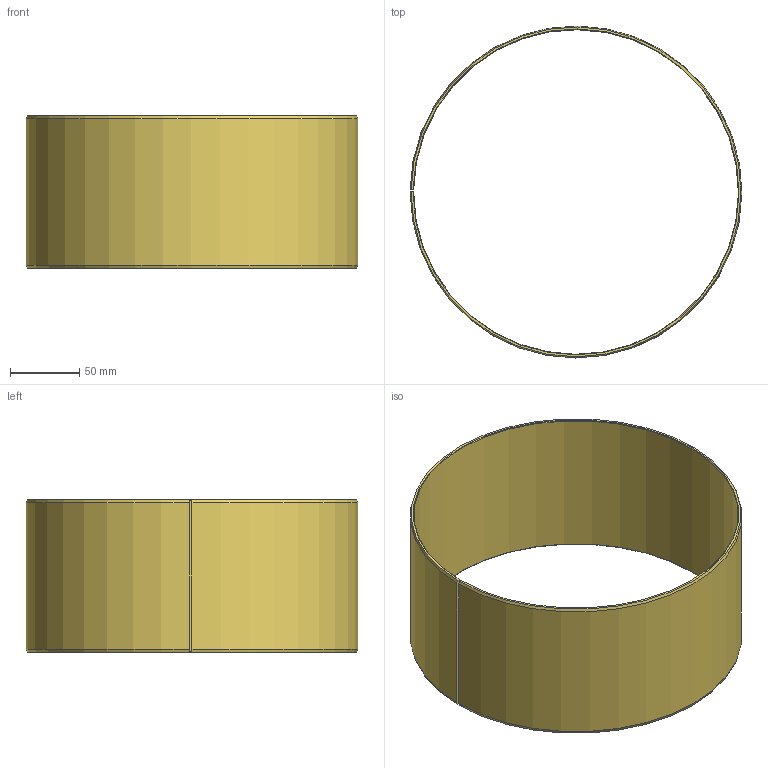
import cadquery as cq

outer_diameter = 240.0
height = 110.0
wall_thickness = 2.5
outer_bevel_height = 2.0
outer_bevel_width = 0.7
inner_bevel_height = 0.5
inner_bevel_width = 0.35
slit_angle = 0.9

outer_radius = outer_diameter / 2
inner_radius = outer_radius - wall_thickness
rim_outer_radius = outer_radius - outer_bevel_width
rim_inner_radius = inner_radius + inner_bevel_width


def make_wall_section():
    """Wall profile on the -X side, standing on Z = 0, beveled at both ends inside and out."""
    corners = [
        (-rim_inner_radius, 0),
        (-rim_outer_radius, 0),
        (-outer_radius, outer_bevel_height),
        (-outer_radius, height - outer_bevel_height),
        (-rim_outer_radius, height),
        (-rim_inner_radius, height),
        (-inner_radius, height - inner_bevel_height),
        (-inner_radius, inner_bevel_height),
    ]
    return cq.Workplane("XZ").polyline(corners).close()


def make_split_ring():
    """Sweep the wall from -X through -Y, +X and +Y, leaving a narrow slit on the +Y side of -X."""
    axis_start = (0, 0)
    axis_end = (0, 1)
    sweep_angle = 360 - slit_angle
    return make_wall_section().revolve(sweep_angle, axis_start, axis_end)


result = make_split_ring()